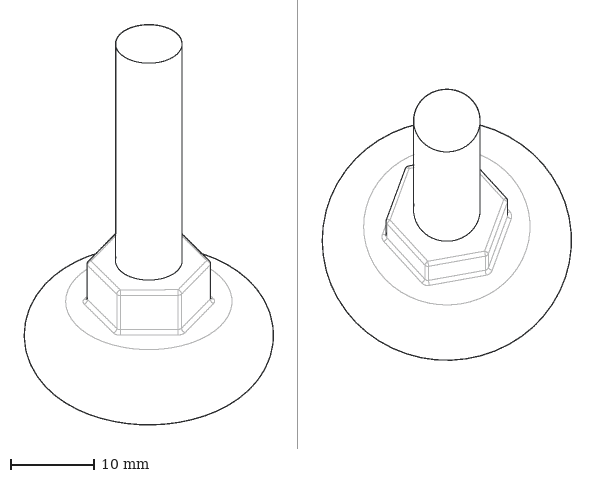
import cadquery as cq
import math

total_height = 48.0
pad_diameter = 30.0
pad_height = 10.0
hex_across_flats = 13.0
hex_height = 6.0
hex_edge_radius = 0.5
stud_diameter = 8.0

hex_across_corners = hex_across_flats / math.cos(math.radians(30))
hex_top = pad_height + hex_height
stud_length = total_height - hex_top
pad_rim_radius = pad_height / 2
pad_flat_radius = pad_diameter / 2 - pad_rim_radius


def make_pad():
    """Revolve a flat disc with a fully rounded rim about the Z axis."""
    return (
        cq.Workplane("XZ")
        .lineTo(pad_flat_radius, 0)
        .threePointArc((pad_diameter / 2, pad_rim_radius), (pad_flat_radius, pad_height))
        .lineTo(0, pad_height)
        .close()
        .revolve(360, (0, 0), (0, 1))
    )


def make_hex():
    """Extrude the hexagon with corners on the X axis and round its corners and top rim."""
    return (
        cq.Workplane("XY", origin=(0, 0, pad_height))
        .polygon(6, hex_across_corners)
        .extrude(hex_height)
        .edges("|Z")
        .fillet(hex_edge_radius)
        .faces(">Z")
        .edges()
        .fillet(hex_edge_radius)
    )


def make_foot():
    """Join the pad and its hexagonal boss, with a fillet where they meet."""
    foot = make_pad().union(make_hex())
    root_reach = hex_across_corners / 2
    root_zone = cq.selectors.BoxSelector(
        (-root_reach, -root_reach, pad_height - hex_edge_radius / 2),
        (root_reach, root_reach, pad_height + hex_edge_radius / 2),
        boundingbox=True,
    )
    return foot.edges(root_zone).fillet(hex_edge_radius)


def make_stud():
    """Plain round stud standing on top of the hexagonal boss."""
    return (
        cq.Workplane("XY", origin=(0, 0, hex_top))
        .circle(stud_diameter / 2)
        .extrude(stud_length)
    )


foot = make_foot()
stud = make_stud()
result = cq.Compound.makeCompound([foot.val(), stud.val()])